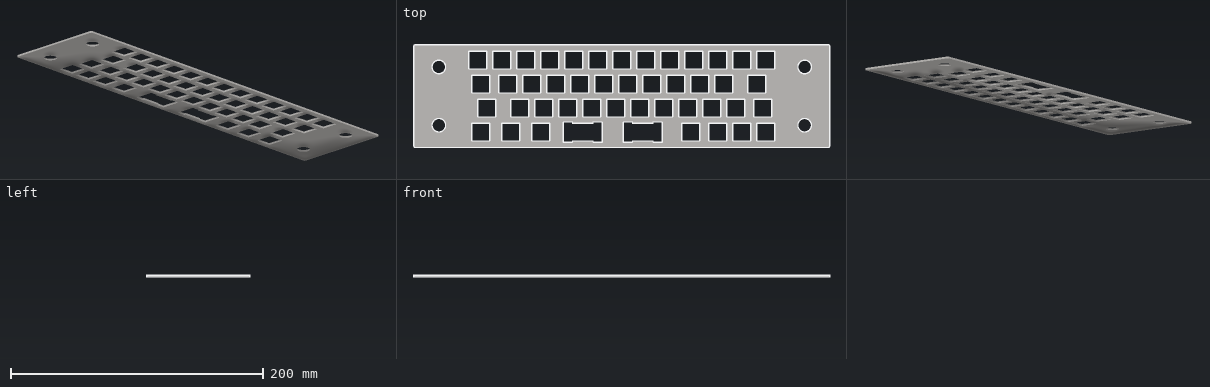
import cadquery as cq

plate_length = 330.0
plate_width = 82.0
plate_thickness = 1.5
corner_radius = 1.5

hole_diameter = 10.5
hole_spacing_x = 290.0
hole_spacing_y = 46.2

row_span = 247.5
keys_per_row = 13
key_pitch = row_span / keys_per_row

stabilized_key_width = 2
stabilizer_length = 30.7
stabilizer_waist_length = 16.5
stabilizer_end_height = 16.0
stabilizer_end_step = 0.92

switch_size = stabilizer_end_height - 2 * stabilizer_end_step

key_rows = [
    [1] * keys_per_row,
    [1.25] + [1] * 10 + [1.75],
    [1.75] + [1] * 10 + [1.25],
    [1.25, 1.25, 1.25, 2.25, 2.75, 1.25, 1, 1, 1],
]


def make_plate():
    """Flat plate centred on the origin, with rounded corners."""
    plate = cq.Workplane("XY").box(plate_length, plate_width, plate_thickness)
    return plate.edges("|Z").fillet(corner_radius)


def find_key_centers():
    """Centres of the square cutouts and of the stabilizer cutouts."""
    switches = []
    stabilizers = []
    for row, key_widths in enumerate(key_rows):
        y = ((len(key_rows) - 1) / 2 - row) * key_pitch
        left = -row_span / 2
        for key_width in key_widths:
            x = left + key_width * key_pitch / 2
            centers = stabilizers if key_width >= stabilized_key_width else switches
            centers.append((x, y))
            left += key_width * key_pitch
    return switches, stabilizers


def cut_rectangles(plate, centers, length, height):
    """Rectangular through cutouts at the given centres."""
    cutouts = cq.Workplane("XY").pushPoints(centers).rect(length, height)
    return plate.cut(cutouts.extrude(plate_thickness, both=True))


def cut_stabilizers(plate, centers):
    """Long through cutouts with a taller opening at each end of the waist."""
    end_length = (stabilizer_length - stabilizer_waist_length) / 2
    end_offset = (stabilizer_length - end_length) / 2
    end_centers = [(x + side * end_offset, y) for x, y in centers for side in (-1, 1)]
    plate = cut_rectangles(plate, centers, stabilizer_length, switch_size)
    return cut_rectangles(plate, end_centers, end_length, stabilizer_end_height)


def cut_mounting_holes(plate):
    """Four round through holes in a rectangle."""
    return (
        plate.faces(">Z")
        .workplane()
        .rect(hole_spacing_x, hole_spacing_y, forConstruction=True)
        .vertices()
        .hole(hole_diameter)
    )


switch_centers, stabilizer_centers = find_key_centers()
result = make_plate()
result = cut_mounting_holes(result)
result = cut_rectangles(result, switch_centers, switch_size, switch_size)
result = cut_stabilizers(result, stabilizer_centers)